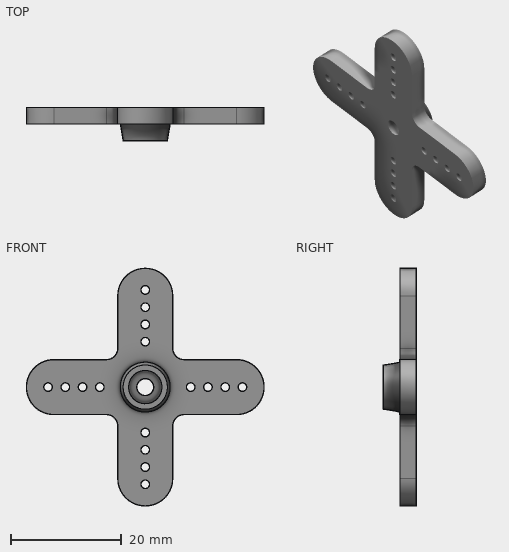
import cadquery as cq

span = 43.0
arm_width = 9.98
plate_thickness = 3.0
inner_corner_radius = 2.0

hub_height = 3.0
hub_base_diameter = 9.05
hub_tip_diameter = 8.0
socket_diameter = 6.0
socket_depth = hub_height
screw_hole_diameter = 3.0

arm_hole_diameter = 1.5
holes_per_arm = 4
first_hole_distance = 8.2
hole_pitch = 3.118

hub_tip = plate_thickness + hub_height


def make_plate():
    arm_along_x = cq.Workplane("XZ").slot2D(span, arm_width).extrude(plate_thickness)
    arm_along_z = cq.Workplane("XZ").slot2D(span, arm_width, 90).extrude(plate_thickness)
    cross = arm_along_x.union(arm_along_z)
    reach = 0.6 * arm_width
    corners = cq.selectors.BoxSelector((-reach, -plate_thickness, -reach), (reach, 0, reach))
    return cross.edges("|Y").edges(corners).fillet(inner_corner_radius)


def make_hub():
    return (
        cq.Workplane("XZ", origin=(0, -plate_thickness, 0))
        .circle(hub_base_diameter / 2)
        .workplane(offset=hub_height)
        .circle(hub_tip_diameter / 2)
        .loft(ruled=True)
    )


def arm_hole_centres():
    centres = []
    for index in range(holes_per_arm):
        distance = first_hole_distance + index * hole_pitch
        centres += [(distance, 0), (-distance, 0), (0, distance), (0, -distance)]
    return centres


arm_holes = (
    cq.Workplane("XZ")
    .pushPoints(arm_hole_centres())
    .circle(arm_hole_diameter / 2)
    .extrude(plate_thickness)
)
screw_hole = cq.Workplane("XZ").circle(screw_hole_diameter / 2).extrude(hub_tip)
socket = (
    cq.Workplane("XZ", origin=(0, socket_depth - hub_tip, 0))
    .circle(socket_diameter / 2)
    .extrude(socket_depth)
)

result = make_plate().union(make_hub()).cut(arm_holes).cut(screw_hole).cut(socket)